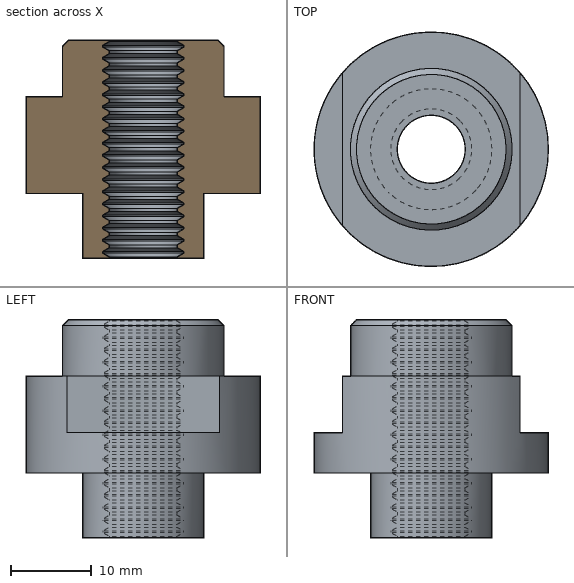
import cadquery as cq
import math

flange_diameter = 29.0
total_height = 27.0

spigot_diameter = 15.0
spigot_height = 8.0
flange_height = 12.0
collar_diameter = 20.0
collar_chamfer = 0.75
collar_height = total_height - spigot_height - flange_height

flats_width = 22.0
flats_height = 7.0

bore_diameter = 8.38
groove_count = 18
flank_angle = 30.0
pitch = total_height / groove_count
groove_mouth = pitch * 3 / 4
groove_root = pitch / 8
groove_depth = (groove_mouth - groove_root) / 2 / math.tan(math.radians(flank_angle))


def stacked_cylinder(body, diameter, height):
    """Add a centred cylinder on top of the body."""
    return body.faces(">Z").workplane().circle(diameter / 2).extrude(height)


def make_body():
    body = cq.Workplane("XY").circle(spigot_diameter / 2).extrude(spigot_height)
    body = stacked_cylinder(body, flange_diameter, flange_height)
    body = stacked_cylinder(body, collar_diameter, collar_height)
    return body.faces(">Z").edges().chamfer(collar_chamfer)


def make_flat_cutter(side):
    """Block outside one wrench flat; side is -1 or +1 along X."""
    shoulder_z = spigot_height + flange_height - flats_height
    block_width = flange_diameter / 2
    return (
        cq.Workplane("XY")
        .workplane(offset=shoulder_z)
        .center(side * (flats_width + block_width) / 2, 0)
        .rect(block_width, flange_diameter)
        .extrude(flats_height)
    )


def make_bore_cutter():
    """Revolved bore whose outline bulges outward at every groove."""
    bore_radius = bore_diameter / 2
    root_radius = bore_radius + groove_depth
    outline = cq.Workplane("XZ").lineTo(bore_radius, 0)
    for index in range(groove_count):
        middle_z = (index + 0.5) * pitch
        outline = (
            outline.lineTo(bore_radius, middle_z - groove_mouth / 2)
            .lineTo(root_radius, middle_z - groove_root / 2)
            .lineTo(root_radius, middle_z + groove_root / 2)
            .lineTo(bore_radius, middle_z + groove_mouth / 2)
        )
    outline = outline.lineTo(bore_radius, total_height).lineTo(0, total_height).close()
    return outline.revolve(360, (0, 0, 0), (0, 1, 0))


result = make_body()
for side in (-1, 1):
    result = result.cut(make_flat_cutter(side))
result = result.cut(make_bore_cutter())